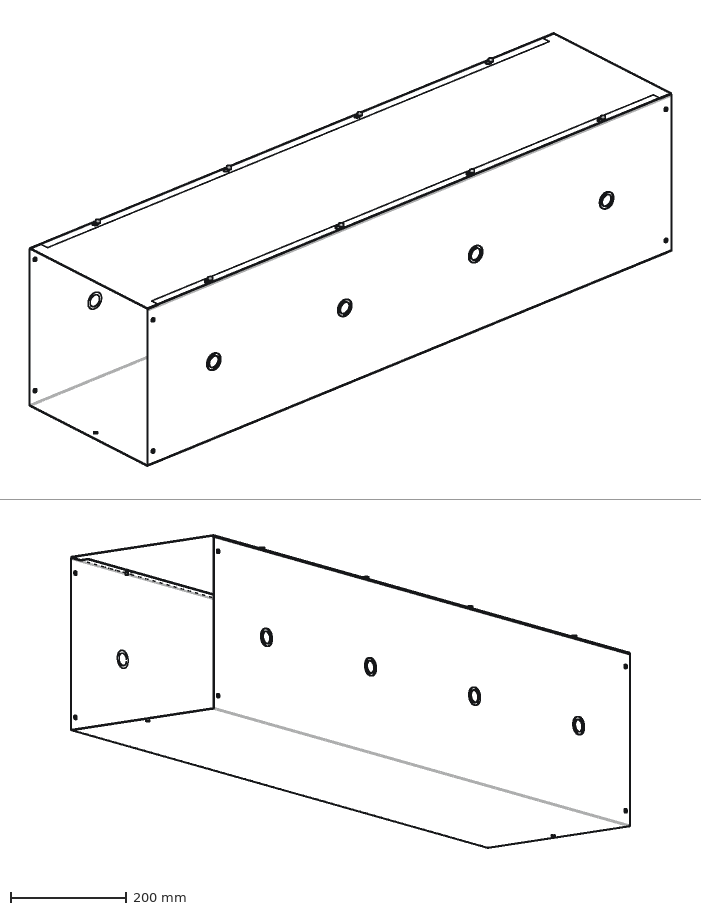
import cadquery as cq


length = 1219.2
overall_width = 312.12
overall_height = 313.05
sheet = 1.52
body_width = 308.5

bend_radius = 2.5
flange_width = 19.0
flange_setback = 25.4
mounting_hole_diameter = 7.0
wall_hole_end_gap = 12.7
wall_hole_inset = 25.4
floor_hole_end_gap = 16.0

cover_side_gap = 1.5
keyhole_diameter = 10.0
keyhole_offset = 6.5

station_count = 4
station_pitch = length / station_count
head_diameter = 8.5
head_height = 4.8
shank_diameter = 4.8
shank_reach = 4.0
screw_inset = 8.5
head_rounding = 0.8

knockout_diameter = 31.5
knockout_height = 152.4
knockout_core_diameter = 22.0
knockout_rise = (overall_width - body_width) / 2

cover_top = overall_height - head_height
trough_top = cover_top - sheet
stations = [(i - (station_count - 1) / 2) * station_pitch for i in range(station_count)]
screw_x = body_width / 2 - screw_inset


def x_rod(diameter, x_start, reach, y, z):
    return cq.Workplane("YZ", origin=(x_start, y, z)).circle(diameter / 2).extrude(reach)


def z_rod(diameter, x, y, z_start, reach):
    return cq.Workplane("XY", origin=(x, y, z_start)).circle(diameter / 2).extrude(reach)


def centred_block(x_size, y_size, z_size, y, z_bottom):
    block = cq.Workplane("XY", origin=(0, y, z_bottom))
    return block.box(x_size, y_size, z_size, centered=(True, True, False))


def make_bent_channel():
    """Thin-walled sheet box, open at both ends, with a long mouth between its two top flanges."""
    outside = centred_block(body_width, length, trough_top, 0, 0).edges("|Y").fillet(bend_radius)
    cavity = centred_block(body_width - 2 * sheet, length, trough_top - 2 * sheet, 0, sheet)
    cavity = cavity.edges("|Y").fillet(bend_radius - sheet)
    mouth = centred_block(body_width - 2 * flange_width, length, trough_top, 0, trough_top / 2)
    return outside.cut(cavity).cut(mouth)


def cut_end_features(trough, end):
    """Stop the flanges short of one end and drill the mounting holes there."""
    relief_y = end * (length - flange_setback) / 2
    relief_width = body_width - 2 * bend_radius
    trough = trough.cut(centred_block(relief_width, flange_setback, sheet, relief_y, trough_top - sheet))
    wall_y = end * (length / 2 - wall_hole_end_gap)
    for z in (wall_hole_inset, trough_top - wall_hole_inset):
        trough = trough.cut(x_rod(mounting_hole_diameter, -body_width / 2, body_width, wall_y, z))
    floor_y = end * (length / 2 - floor_hole_end_gap)
    return trough.cut(z_rod(mounting_hole_diameter, 0, floor_y, 0, sheet))


def make_knockout_ring(side, y):
    wall_x = side * body_width / 2
    reach = side * knockout_rise
    disc = x_rod(knockout_diameter, wall_x, reach, y, knockout_height)
    return disc.cut(x_rod(knockout_core_diameter, wall_x, reach, y, knockout_height))


def make_trough():
    trough = make_bent_channel()
    for end in (-1, 1):
        trough = cut_end_features(trough, end)
    for y in stations:
        for side in (-1, 1):
            trough = trough.union(make_knockout_ring(side, y))
            trough = trough.cut(z_rod(shank_diameter, side * screw_x, y, trough_top - sheet, sheet))
    return trough


def make_keyhole(x, y):
    """Round entry on the -Y side, joined by a neck to the seat around the screw shank."""
    entry = z_rod(keyhole_diameter, x, y - keyhole_offset, trough_top, sheet)
    neck = cq.Workplane("XY", origin=(x, y - keyhole_offset / 2, trough_top)).box(
        shank_diameter, keyhole_offset, sheet, centered=(True, True, False))
    seat = z_rod(shank_diameter, x, y, trough_top, sheet)
    return entry.union(neck).union(seat)


def make_cover():
    cover = centred_block(body_width - 2 * cover_side_gap, length, sheet, 0, trough_top)
    for y in stations:
        for side in (-1, 1):
            cover = cover.cut(make_keyhole(side * screw_x, y))
    return cover


def make_screw(x, y):
    shank_bottom = trough_top - sheet - shank_reach
    shank = z_rod(shank_diameter, x, y, shank_bottom, cover_top - shank_bottom)
    head = z_rod(head_diameter, x, y, cover_top, head_height).faces(">Z").edges().fillet(head_rounding)
    return shank.union(head)


trough = make_trough()
cover = make_cover()
screws = [make_screw(side * screw_x, y).val() for side in (-1, 1) for y in stations]
result = cq.Compound.makeCompound([trough.val(), cover.val(), *screws])